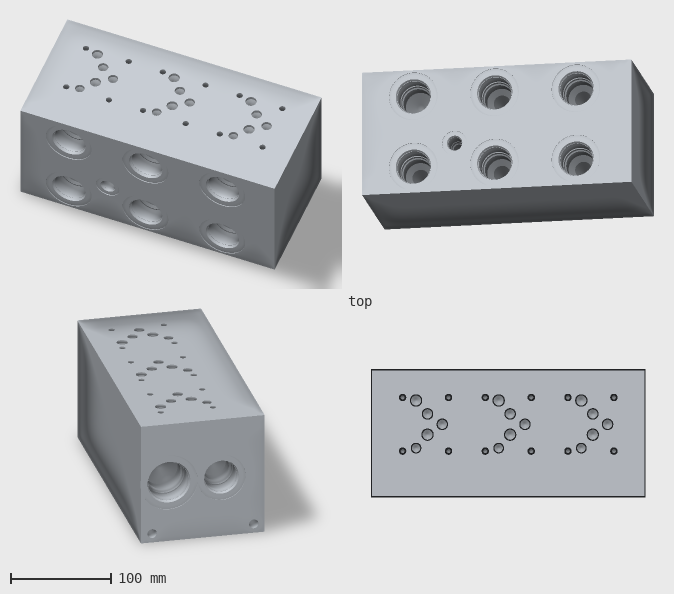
import cadquery as cq
import math

LENGTH = 273.0
WIDTH = 127.0
HEIGHT = 127.0

DRILL_POINT_ANGLE = 118.0

STATION_COUNT = 3
STATION_PITCH = 82.5
STATION_SHIFTS = [index * STATION_PITCH for index in range(STATION_COUNT)]

SPOTFACE_DEPTH = 0.8
MOUTH_DEPTH = 3.8
GAUGE_MOUTH_DEPTH = 3.0
THREAD_DEPTH = 20.0
TAP_DRILL_DEPTH = 24.0
DRILL_DEPTH = 38.2

LARGE_PORT = (58.5, 44.0, 41.8, 41.2, 39.3)
MEDIUM_PORT = (49.1, 35.8, 33.9, 33.3, 31.5)
SMALL_PORT = (25.0, 15.5, 14.2, 14.0, 12.8)

WORK_PORT_X = 52.0
PORT_A_Z = 27.0
PORT_B_Z = 100.0
WORK_DRILL = 28.7
CENTRE_CONE_DIAMETER = 16.7
CENTRE_CONE_ANGLE = 36.0

GAUGE_X = 93.7
GAUGE_Z = 49.5
GAUGE_DRILL = 10.5

END_PORT_Z = HEIGHT / 2
PRESSURE_Y = 44.2
PRESSURE_DRILL = 27.0
TANK_Y = 98.0
TANK_DRILL = 35.5

MOUNT_Y = (11.2, 115.5)
MOUNT_Z = 9.5
MOUNT_THREAD = 9.5
MOUNT_THREAD_DEPTH = 19.0
MOUNT_DRILL = 8.0
MOUNT_DRILL_DEPTH = 23.2

PATTERN_Y = 72.4
BOLT_X = (31.0, 77.0)
BOLT_OFFSETS_Y = (-26.8, 26.8)
BOLT_THREAD = 6.3
BOLT_THREAD_DEPTH = 13.7
BOLT_DRILL = 5.2
BOLT_DRILL_DEPTH = 16.5
PASSAGE_DEPTH = 3.0
PASSAGES = (
    (44.5, 23.8, 11.2),
    (56.0, 10.5, 10.5),
    (70.7, 0.0, 10.5),
    (56.0, -10.5, 11.2),
    (44.5, -23.8, 9.5),
)


def cone_length(start_diameter, end_diameter, angle=DRILL_POINT_ANGLE):
    """Axial length of a cone with the given included angle between two diameters."""
    return (start_diameter - end_diameter) / 2 / math.tan(math.radians(angle / 2))


def bore(steps, point_angle=DRILL_POINT_ANGLE):
    """Cutter along -Z through (diameter, depth) steps, ending in a conical point."""
    last_diameter, last_depth = steps[-1]
    tip_depth = last_depth + cone_length(last_diameter, 0, point_angle)
    wall = [(diameter / 2, -depth) for diameter, depth in steps]
    profile = cq.Workplane("XZ").polyline([(0, 0)] + wall + [(0, -tip_depth)]).close()
    return profile.revolve(360, (0, 0, 0), (0, 1, 0))


def port_steps(diameters, drill, mouth_depth=MOUTH_DEPTH):
    """Steps of a spotfaced, threaded port with a conical mouth and a narrower drill beyond."""
    spotface, mouth, mouth_end, thread, tap_drill = diameters
    return [
        (spotface, 0),
        (spotface, SPOTFACE_DEPTH),
        (mouth, SPOTFACE_DEPTH),
        (mouth_end, mouth_depth),
        (thread, mouth_depth),
        (thread, THREAD_DEPTH),
        (tap_drill, THREAD_DEPTH),
        (tap_drill, TAP_DRILL_DEPTH),
        (drill, TAP_DRILL_DEPTH + cone_length(tap_drill, drill)),
        (drill, DRILL_DEPTH),
    ]


def threaded_hole(thread, thread_depth, tap_drill, drill_depth):
    """Cutter for a thread bore with its narrower tap drill beyond."""
    return bore([(thread, 0), (thread, thread_depth), (tap_drill, thread_depth), (tap_drill, drill_depth)])


def on_front(cutter, x, z):
    """Place a cutter so that it enters the Y = 0 face."""
    return cutter.rotate((0, 0, 0), (1, 0, 0), 90).translate((x, 0, z))


def on_left(cutter, y, z):
    """Place a cutter so that it enters the X = 0 face."""
    return cutter.rotate((0, 0, 0), (0, 1, 0), -90).translate((0, y, z))


def on_top(cutter, x, y):
    """Place a cutter so that it enters the top face."""
    return cutter.translate((x, y, HEIGHT))


def work_port_cutters():
    steps = port_steps(MEDIUM_PORT, WORK_DRILL)
    cone_start = DRILL_DEPTH + cone_length(WORK_DRILL, CENTRE_CONE_DIAMETER)
    plain_port = bore(steps)
    coned_port = bore(steps + [(CENTRE_CONE_DIAMETER, cone_start)], CENTRE_CONE_ANGLE)
    cutters = []
    for index, shift in enumerate(STATION_SHIFTS):
        x = WORK_PORT_X + shift
        b_port = plain_port if index == 0 else coned_port
        cutters.append(on_front(coned_port, x, PORT_A_Z))
        cutters.append(on_front(b_port, x, PORT_B_Z))
    return cutters


def gauge_port_cutters():
    gauge_port = bore(port_steps(SMALL_PORT, GAUGE_DRILL, GAUGE_MOUTH_DEPTH))
    return [on_front(gauge_port, GAUGE_X, GAUGE_Z)]


def left_end_cutters():
    pressure_port = bore(port_steps(MEDIUM_PORT, PRESSURE_DRILL))
    tank_port = bore(port_steps(LARGE_PORT, TANK_DRILL))
    mount_hole = threaded_hole(MOUNT_THREAD, MOUNT_THREAD_DEPTH, MOUNT_DRILL, MOUNT_DRILL_DEPTH)
    cutters = [
        on_left(pressure_port, PRESSURE_Y, END_PORT_Z),
        on_left(tank_port, TANK_Y, END_PORT_Z),
    ]
    cutters += [on_left(mount_hole, y, MOUNT_Z) for y in MOUNT_Y]
    return cutters


def valve_pattern_cutters():
    bolt_hole = threaded_hole(BOLT_THREAD, BOLT_THREAD_DEPTH, BOLT_DRILL, BOLT_DRILL_DEPTH)
    cutters = []
    for shift in STATION_SHIFTS:
        for x in BOLT_X:
            for offset in BOLT_OFFSETS_Y:
                cutters.append(on_top(bolt_hole, x + shift, PATTERN_Y + offset))
        for x, offset, diameter in PASSAGES:
            passage = bore([(diameter, 0), (diameter, PASSAGE_DEPTH)])
            cutters.append(on_top(passage, x + shift, PATTERN_Y + offset))
    return cutters


all_cutters = work_port_cutters() + gauge_port_cutters() + left_end_cutters() + valve_pattern_cutters()

result = cq.Workplane("XY").box(LENGTH, WIDTH, HEIGHT, centered=False)
for cutter in all_cutters:
    result = result.cut(cutter)